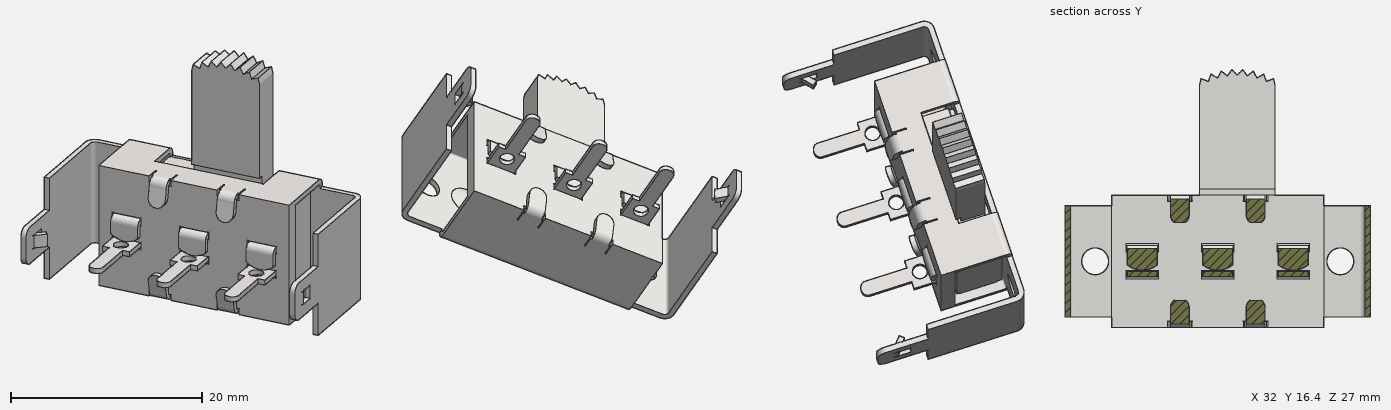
import cadquery as cq
import math


sheet = 0.6
body_length = 22.25
body_height = 13.85
frame_depth = 6.3
frame_bend = 0.8
mid_height = body_height / 2

ear_span = 32.0
ear_height = 11.68
ear_top = mid_height + ear_height / 2
ear_bend = 1.1
ear_depth = 10.88
ear_hole_diameter = 2.8
ear_hole_x = 12.83
tab_height = 4.25
tab_reach = 16.4
tab_corner = 0.95
window_height = 1.55
window_front = 14.65
window_back = 12.77
prong_height = 1.45
prong_angle = 41.0
prong_length = 1.45
prong_root_inset = 0.2
prong_bend_inset = 0.15

dome_x = -8.3
dome_radius = 1.73
dome_height = 0.4

base_front = 7.85
lug_places = (-3.97, 3.97)
lug_width = 2.0
lug_neck_width = 2.3
lug_neck_front = 7.45
lug_notch_width = 2.55
lug_notch_depth = 0.67
lug_bend_front = 8.4
lug_bend_radius = lug_bend_front - lug_neck_front
lug_tip_round = 0.95
lug_tip_front = 8.83
lug_tip_height = 10.8

terminal_pitch = 7.9
terminal_places = (-terminal_pitch, 0, terminal_pitch)
terminal_width = 3.17
terminal_slot_width = 3.4
terminal_slot_depth = 0.32
upper_slot_bottom = 7.9
upper_slot_top = 8.77
lower_slot_bottom = 5.1
lower_slot_top = 5.95
fold_thickness = 0.5
fold_top = 8.58
fold_bottom = 6.0
leaf_tip_depth = 0.58
fold_bend = 0.75
blade_bottom = 5.3
blade_thickness = 0.58
blade_shoulder = 10.27
blade_hole_diameter = 1.57
blade_hole_y = -9.12
pin_width = 1.57
pin_reach = 15.6
pin_corner = 0.7

handle_x = 2.05
handle_width = 7.95
handle_back = 1.35
handle_front = 4.5
handle_top = 27.0
handle_shoulder = 25.35
undercut_top = 14.5
neck_front = 3.97
tooth_count = 8
tooth_angle = 8.1
tooth_tip_radius = 8.0
tooth_root_radius = 7.4
slot_length = 12.7
slot_front = 4.3
slot_floor = ear_top
carrier_length = 16.2
carrier_back = 0.8
carrier_front = 5.8
carrier_bottom = 0.95
shelf_height = 12.4
foot_front = 5.45
foot_bottom = 0.7


def box(x_range, y_range, z_range):
    """Box between the given limits along each axis."""
    size = [high - low for low, high in (x_range, y_range, z_range)]
    corner = (x_range[0], y_range[0], z_range[0])
    return cq.Workplane("XY").box(*size, centered=False).translate(corner)


def centered(middle, width):
    """Limits of a span of the given width about its middle."""
    return middle - width / 2, middle + width / 2


def mirrored_in_x(shape):
    return shape.union(shape.mirror("YZ"))


def make_frame():
    """Channel of bent sheet with open ends and a slider slot in the top."""
    x_range = centered(0, body_length)
    outer = box(x_range, (-frame_depth, 0), (0, body_height)).edges("|X and >Y").fillet(frame_bend)
    cavity = box(x_range, (-frame_depth, -sheet), (sheet, body_height - sheet))
    cavity = cavity.edges("|X and >Y").fillet(frame_bend - sheet)
    slot = box(centered(0, slot_length), (-slot_front, 0), (slot_floor, body_height))
    return outer.cut(cavity).cut(slot)


def make_dome():
    """Shallow spherical dome on the inside of the back wall."""
    sphere_radius = (dome_radius**2 + dome_height**2) / (2 * dome_height)
    return (
        cq.Workplane("XY", origin=(dome_x, 0, mid_height))
        .moveTo(0, -sheet / 2)
        .lineTo(dome_radius, -sheet / 2)
        .lineTo(dome_radius, -sheet)
        .radiusArc((0, -sheet - dome_height), sphere_radius)
        .close()
        .revolve(360, (0, 0, 0), (0, 1, 0))
    )


def make_prong():
    """Prong lanced out of the left ear and bent inward."""
    outer_x = -ear_span / 2
    inner_x = outer_x + sheet
    angle = math.radians(prong_angle)
    along = (math.cos(angle), math.sin(angle))
    across = (-along[1], along[0])
    front_root = (inner_x, -window_front + prong_root_inset)
    front_tip = (front_root[0] + prong_length * along[0], front_root[1] + prong_length * along[1])
    back_tip = (front_tip[0] + sheet * across[0], front_tip[1] + sheet * across[1])
    back_length = prong_length + prong_bend_inset
    back_root = (back_tip[0] - back_length * along[0], back_tip[1] - back_length * along[1])
    outline = (
        cq.Workplane("XY", origin=(0, 0, mid_height - prong_height / 2))
        .moveTo(outer_x, -window_front - sheet / 2)
        .lineTo(outer_x, -window_front)
        .tangentArcPoint(back_root, relative=False)
        .lineTo(*back_tip)
        .lineTo(*front_tip)
        .lineTo(*front_root)
        .lineTo(inner_x, -window_front - sheet / 2)
        .close()
    )
    return outline.extrude(prong_height)


def make_ears():
    """Bent mounting ears with screw holes, tabs, windows and prongs."""
    half_span = ear_span / 2
    x_range = (-half_span, -body_length / 2 + sheet)
    z_range = centered(mid_height, ear_height)
    outer = box(x_range, (-ear_depth, 0), z_range)
    outer = outer.edges("|Z and <X and >Y").fillet(ear_bend)
    inner = box((-half_span + sheet, x_range[1]), (-ear_depth, -sheet), z_range)
    inner = inner.edges("|Z and <X and >Y").fillet(ear_bend - sheet)
    wall_x = (-half_span, -half_span + sheet)
    tab = box(wall_x, (-tab_reach, -ear_depth), centered(mid_height, tab_height))
    tab = tab.edges("|X and <Y").fillet(tab_corner)
    window = box(wall_x, (-window_front, -window_back), centered(mid_height, window_height))
    hole = (
        cq.Workplane("XZ", origin=(-ear_hole_x, 0, mid_height))
        .circle(ear_hole_diameter / 2)
        .extrude(sheet)
    )
    ear = outer.cut(inner).union(tab).cut(window).cut(hole).union(make_prong())
    return mirrored_in_x(ear)


def make_upper_lug(x):
    """Frame lug at the top edge, bent down over the front of the base."""
    inner_front = lug_bend_front - sheet
    bend_end = body_height - lug_bend_radius
    inner_tip_front = lug_tip_front - sheet
    profile = (
        cq.Workplane("YZ", origin=(x - lug_width / 2, 0, 0))
        .moveTo(-frame_depth, body_height)
        .lineTo(-lug_neck_front, body_height)
        .radiusArc((-lug_bend_front, bend_end), -lug_bend_radius)
        .lineTo(-lug_tip_front, lug_tip_height)
        .lineTo(-inner_tip_front, lug_tip_height)
        .lineTo(-inner_front, bend_end)
        .radiusArc((-lug_neck_front, body_height - sheet), lug_bend_radius - sheet)
        .lineTo(-frame_depth, body_height - sheet)
        .close()
    )
    rounded = box(
        centered(x, lug_width),
        (-lug_tip_front, -frame_depth),
        (lug_tip_height, body_height),
    )
    rounded = rounded.edges("|Y and <Z").fillet(lug_tip_round)
    neck = box(
        centered(x, lug_neck_width),
        (-lug_neck_front, -frame_depth),
        (body_height - sheet, body_height),
    )
    return profile.extrude(lug_width).intersect(rounded).union(neck)


def make_base():
    """Contact base with edge notches for the lugs and slots for the terminals."""
    base = box(centered(0, body_length), (-base_front, -frame_depth), (0, body_height))
    notch_y = (-base_front, -frame_depth)
    for x in lug_places:
        for z_range in ((0, lug_notch_depth), (body_height - lug_notch_depth, body_height)):
            base = base.cut(box(centered(x, lug_notch_width), notch_y, z_range))
    slot_y = (-base_front, -base_front + terminal_slot_depth)
    for x in terminal_places:
        for z_range in ((upper_slot_bottom, upper_slot_top), (lower_slot_bottom, lower_slot_top)):
            base = base.cut(box(centered(x, terminal_slot_width), slot_y, z_range))
    return base


def make_terminal():
    """Terminal with a folded-down upper leaf and a lower blade ending in a pin."""
    half_width = terminal_width / 2
    root_y = -base_front + terminal_slot_depth
    leaf_corner_z = fold_bottom + leaf_tip_depth
    leaf = (
        cq.Workplane("XZ", origin=(0, root_y, 0))
        .moveTo(-half_width, fold_top)
        .lineTo(half_width, fold_top)
        .lineTo(half_width, leaf_corner_z)
        .threePointArc((0, fold_bottom), (-half_width, leaf_corner_z))
        .close()
        .extrude(terminal_slot_depth + fold_thickness)
        .edges("|X and >Z and <Y")
        .fillet(fold_bend)
    )
    blade_z = (blade_bottom, blade_bottom + blade_thickness)
    blade = box(centered(0, terminal_width), (-blade_shoulder, root_y), blade_z)
    pin = box(centered(0, pin_width), (-pin_reach, -blade_shoulder), blade_z)
    pin = pin.edges("|Z and <Y").fillet(pin_corner)
    hole = (
        cq.Workplane("XY", origin=(0, blade_hole_y, blade_bottom))
        .circle(blade_hole_diameter / 2)
        .extrude(blade_thickness)
    )
    return leaf.union(blade.union(pin).cut(hole))


def polar_point(radius, degrees):
    """Point at an angle from vertical about the centre of the handle's toothed arc."""
    angle = math.radians(degrees)
    center_z = handle_top - tooth_tip_radius * math.cos(math.radians(tooth_angle / 2))
    return handle_x + radius * math.sin(angle), center_z + radius * math.cos(angle)


def make_slider():
    """Handle with a toothed top on a carrier that runs inside the frame."""
    carrier_top = body_height - sheet
    left, right = centered(handle_x, handle_width)
    outline = [(right, carrier_top), (left, carrier_top), (left, handle_shoulder)]
    first_tip = -(tooth_count - 1) / 2 * tooth_angle
    for tooth in range(tooth_count):
        tip_angle = first_tip + tooth * tooth_angle
        outline.append(polar_point(tooth_tip_radius, tip_angle))
        if tooth < tooth_count - 1:
            outline.append(polar_point(tooth_root_radius, tip_angle + tooth_angle / 2))
    outline.append((right, handle_shoulder))
    handle = (
        cq.Workplane("XZ", origin=(0, -handle_back, 0))
        .polyline(outline)
        .close()
        .extrude(handle_front - handle_back)
    )
    undercut = box((left, right), (-handle_front, -neck_front), (carrier_top, undercut_top))
    carrier_x = centered(handle_x, carrier_length)
    carrier = box(carrier_x, (-carrier_front, -carrier_back), (carrier_bottom, carrier_top))
    shelf_space = box(
        centered(0, slot_length),
        (-handle_back, -carrier_back),
        (shelf_height, carrier_top),
    )
    foot = box(carrier_x, (-foot_front, -handle_back), (foot_bottom, carrier_bottom))
    return handle.cut(undercut).union(carrier.cut(shelf_space)).union(foot)


result = make_frame().union(make_ears()).union(make_dome()).union(make_base())

for lug_x in lug_places:
    upper_lug = make_upper_lug(lug_x)
    lower_lug = upper_lug.mirror("XY", (0, 0, mid_height))
    result = result.union(upper_lug).union(lower_lug)

terminal = make_terminal()
for terminal_x in terminal_places:
    result = result.union(terminal.translate((terminal_x, 0, 0)))

result = result.union(make_slider())